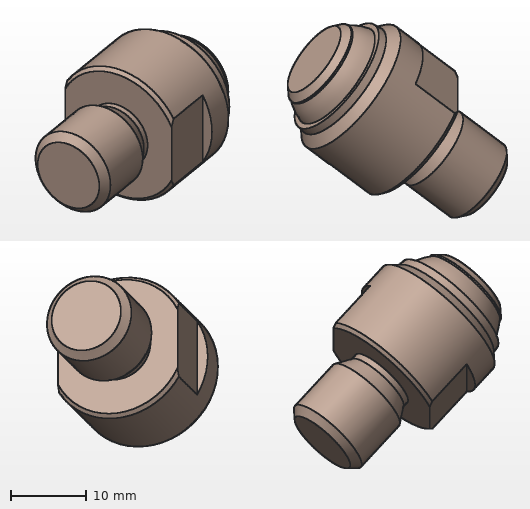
import cadquery as cq
import math

total_length = 30.0
shoulder_y = 12.0
flat_end_y = 19.5
neck_width = 0.9
neck_taper_angle = 30.0
ring_bottom_y = 24.85
ring_top_y = 26.0

body_diameter = 20.0
stud_diameter = 12.0
neck_diameter = 9.4
ball_diameter = 16.02
rim_diameter = 12.7
ring_bottom_diameter = 17.28
ring_top_diameter = 16.98

stud_chamfer = 1.08
body_chamfer = 0.5
rim_chamfer = 1.0
across_flats = 17.0

body_radius = body_diameter / 2
stud_radius = stud_diameter / 2
neck_radius = neck_diameter / 2
ball_radius = ball_diameter / 2
rim_radius = rim_diameter / 2
ring_bottom_radius = ring_bottom_diameter / 2

rim_height = 0.27
rim_end_y = total_length - rim_chamfer
rim_start_y = rim_end_y - rim_height
ball_center_y = rim_start_y - math.sqrt(ball_radius**2 - rim_radius**2)


def ball_radius_at(y):
    """Radius of the ball's cross-section at height y."""
    return math.sqrt(ball_radius**2 - (y - ball_center_y) ** 2)


def revolved_body():
    """Stud, neck, body, retaining ring and ball turned about the Y axis."""
    neck_start_y = shoulder_y - neck_width
    taper_length = (stud_radius - neck_radius) / math.tan(math.radians(neck_taper_angle))
    body_top_y = ring_bottom_y - (body_radius - ring_bottom_radius)
    ball_mid_y = (ring_top_y + rim_start_y) / 2
    profile = (
        cq.Workplane("XY")
        .moveTo(0, 0)
        .lineTo(stud_radius - stud_chamfer, 0)
        .lineTo(stud_radius, stud_chamfer)
        .lineTo(stud_radius, neck_start_y - taper_length)
        .lineTo(neck_radius, neck_start_y)
        .lineTo(neck_radius, shoulder_y)
        .lineTo(body_radius - body_chamfer, shoulder_y)
        .lineTo(body_radius, shoulder_y + body_chamfer)
        .lineTo(body_radius, body_top_y)
        .lineTo(ring_bottom_radius, ring_bottom_y)
        .lineTo(ring_top_diameter / 2, ring_top_y)
        .lineTo(ball_radius_at(ring_top_y), ring_top_y)
        .threePointArc((ball_radius_at(ball_mid_y), ball_mid_y), (rim_radius, rim_start_y))
        .lineTo(rim_radius, rim_end_y)
        .lineTo(rim_radius - rim_chamfer, total_length)
        .lineTo(0, total_length)
        .close()
    )
    return profile.revolve(360, (0, 0, 0), (0, 1, 0))


def flat_cutter(side):
    """Block outside one wrench flat; side is +1 or -1 along X."""
    flat_length = flat_end_y - shoulder_y
    center_x = side * (across_flats + body_diameter) / 2
    center_y = shoulder_y + flat_length / 2
    return cq.Workplane("XY").box(body_diameter, flat_length, body_diameter).translate(
        (center_x, center_y, 0)
    )


result = revolved_body()
for side in (-1, 1):
    result = result.cut(flat_cutter(side))